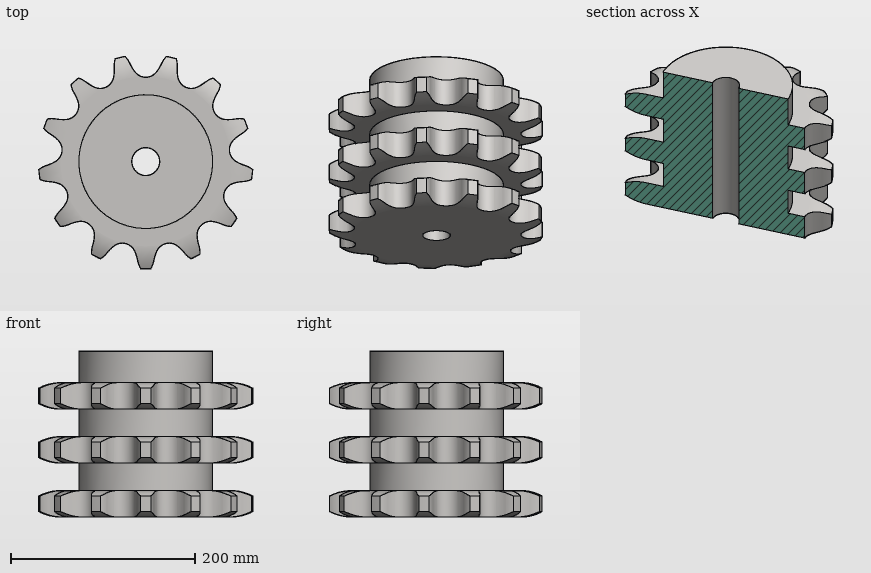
import cadquery as cq
import math


TOOTH_COUNT = 13
CHAIN_PITCH = 50.8
ROLLER_DIAMETER = 29.2
OVERALL_WIDTH = 232.1
TOOTH_WIDTH = 28.8
ROW_COUNT = 3
ROW_SPACING = 58.5
HUB_DIAMETER = 145.0
BORE_DIAMETER = 30.0
TOTAL_HEIGHT = 180.0
FACE_RADIUS = 92.2
TIP_RELIEF = 6.0
CUTTER_MARGIN = 11.5

HALF_TOOTH_ANGLE = 180 / TOOTH_COUNT
PITCH_RADIUS = CHAIN_PITCH / 2 / math.sin(math.radians(HALF_TOOTH_ANGLE))

SEAT_RADIUS = ROLLER_DIAMETER / 2
SEAT_ANGLE = 35 + 60 / TOOTH_COUNT
WORKING_SWEEP = 18 - 56 / TOOTH_COUNT
FLANK_ANGLE = SEAT_ANGLE - WORKING_SWEEP
WORKING_OFFSET = 0.8 * ROLLER_DIAMETER
WORKING_RADIUS = SEAT_RADIUS + WORKING_OFFSET
TOPPING_OFFSET = 1.4 * ROLLER_DIAMETER


def polar(center, radius, angle):
    """Point at a distance and angle (degrees) from a center."""
    a = math.radians(angle)
    return (center[0] + radius * math.cos(a), center[1] + radius * math.sin(a))


def mirrored(point):
    """Reflection of a point across the Y axis."""
    return (-point[0], point[1])


SEAT_CENTER = (0, PITCH_RADIUS)
WORKING_CENTER = polar(SEAT_CENTER, WORKING_OFFSET, 180 - SEAT_ANGLE)
TOPPING_CENTER = polar(SEAT_CENTER, TOPPING_OFFSET, -HALF_TOOTH_ANGLE)
FLANK_START = polar(WORKING_CENTER, WORKING_RADIUS, -FLANK_ANGLE)

FLANK_NORMAL = polar((0, 0), 1, -FLANK_ANGLE)
TOPPING_RADIUS = sum(
    (t - f) * n for t, f, n in zip(TOPPING_CENTER, FLANK_START, FLANK_NORMAL)
)
TOPPING_START_ANGLE = 180 - FLANK_ANGLE

GAP_TURN = TOOTH_COUNT // 4 * 2 * HALF_TOOTH_ANGLE
TURNED_CENTER = polar(
    (0, 0),
    math.hypot(*TOPPING_CENTER),
    math.degrees(math.atan2(TOPPING_CENTER[1], TOPPING_CENTER[0])) - GAP_TURN,
)
TURNED_TIP_ANGLE = math.degrees(math.acos((OVERALL_WIDTH / 2 - TURNED_CENTER[0]) / TOPPING_RADIUS))
TIP_ANGLE = TURNED_TIP_ANGLE + GAP_TURN
TIP = polar(TOPPING_CENTER, TOPPING_RADIUS, TIP_ANGLE)
TIP_RADIUS = math.hypot(*TIP)


def tooth_gap():
    """Outline of one gap between teeth, centered on +Y and open past the tips."""
    seat_bottom = polar(SEAT_CENTER, SEAT_RADIUS, -90)
    seat_end = polar(WORKING_CENTER, WORKING_RADIUS, -SEAT_ANGLE)
    working_middle = polar(WORKING_CENTER, WORKING_RADIUS, -SEAT_ANGLE + WORKING_SWEEP / 2)
    topping_start = polar(TOPPING_CENTER, TOPPING_RADIUS, TOPPING_START_ANGLE)
    topping_middle = polar(TOPPING_CENTER, TOPPING_RADIUS, (TOPPING_START_ANGLE + TIP_ANGLE) / 2)
    clear_scale = 1 + CUTTER_MARGIN / TIP_RADIUS
    clear = (TIP[0] * clear_scale, TIP[1] * clear_scale)

    return (
        cq.Workplane("XY")
        .moveTo(*clear)
        .lineTo(*TIP)
        .threePointArc(topping_middle, topping_start)
        .lineTo(*FLANK_START)
        .threePointArc(working_middle, seat_end)
        .threePointArc(seat_bottom, mirrored(seat_end))
        .threePointArc(mirrored(working_middle), mirrored(FLANK_START))
        .lineTo(*mirrored(topping_start))
        .threePointArc(mirrored(topping_middle), mirrored(TIP))
        .lineTo(*mirrored(clear))
        .close()
    )


def sprocket_blank():
    """Disc whose two faces curve toward each other near the tooth tips."""
    relief_span = TIP_RADIUS - FACE_RADIUS
    relief_radius = (relief_span**2 + TIP_RELIEF**2) / (2 * TIP_RELIEF)
    half_sweep = math.degrees(math.asin(relief_span / relief_radius)) / 2
    lower_middle = polar((FACE_RADIUS, relief_radius), relief_radius, -90 + half_sweep)
    upper_middle = (lower_middle[0], TOOTH_WIDTH - lower_middle[1])

    return (
        cq.Workplane("XZ")
        .lineTo(FACE_RADIUS, 0)
        .threePointArc(lower_middle, (TIP_RADIUS, TIP_RELIEF))
        .lineTo(TIP_RADIUS, TOOTH_WIDTH - TIP_RELIEF)
        .threePointArc(upper_middle, (FACE_RADIUS, TOOTH_WIDTH))
        .lineTo(0, TOOTH_WIDTH)
        .close()
        .revolve(360, (0, 0), (0, 1))
    )


def sprocket():
    """One toothed row, with a gap between teeth centered on +Y."""
    gap = tooth_gap().extrude(TOOTH_WIDTH)
    row = sprocket_blank()
    for index in range(TOOTH_COUNT):
        row = row.cut(gap.rotate((0, 0, 0), (0, 0, 1), index * 360 / TOOTH_COUNT))
    return row


result = cq.Workplane("XY").circle(HUB_DIAMETER / 2).extrude(TOTAL_HEIGHT)
toothed_row = sprocket()
for row_index in range(ROW_COUNT):
    result = result.union(toothed_row.translate((0, 0, row_index * ROW_SPACING)))

bore = cq.Workplane("XY").circle(BORE_DIAMETER / 2).extrude(TOTAL_HEIGHT)
result = result.cut(bore)